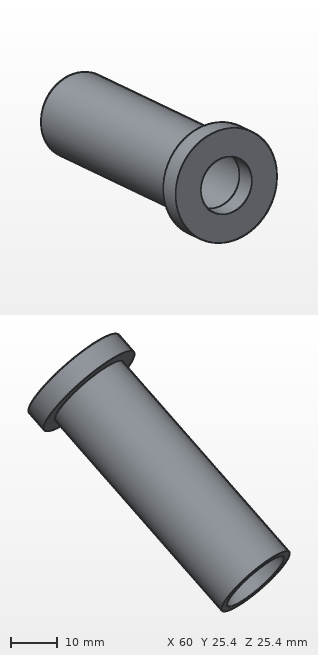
import cadquery as cq

total_length = 60.0
flange_thickness = 5.05
flange_diameter = 25.4
tube_diameter = 19.1
bore_diameter = 15.9
flange_hole_diameter = 12.7

tube_length = total_length - flange_thickness


def cylinder_along_x(diameter, start, length):
    """Solid cylinder on the X axis, running from start toward +X."""
    return cq.Workplane("YZ", origin=(start, 0, 0)).circle(diameter / 2).extrude(length)


tube = cylinder_along_x(tube_diameter, 0, tube_length)
flange = cylinder_along_x(flange_diameter, tube_length, flange_thickness)

bore = cylinder_along_x(bore_diameter, 0, tube_length)
flange_hole = cylinder_along_x(flange_hole_diameter, tube_length, flange_thickness)

result = tube.union(flange).cut(bore).cut(flange_hole)